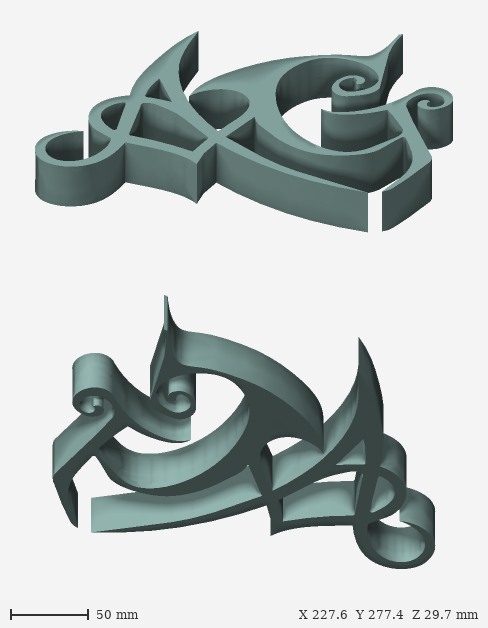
import cadquery as cq

LENGTH = 277.3
WIDTH = 227.5
THICKNESS = 29.7



def trace(start, edges):
    """Draw a closed profile whose corners are where one edge meets the next."""
    profile = cq.Workplane("XY").moveTo(*start)
    for points in edges:
        if len(points) == 1:
            profile = profile.lineTo(*points[0])
        elif len(points) == 2:
            profile = profile.threePointArc(*points)
        else:
            profile = profile.spline(points, includeCurrent=True)
    return profile.close()


blade_left_tip = (0, 141.7)
blade_right_tip = (226.5, 192.7)
strut_left_foot = (126.5, 120.3)
strut_right_foot = (134.5, 123.0)
strut_right_head = (114.8, 147.8)
elbow_top = (140.3, 115.3)
tail_notch = (124.5, 59.0)
stem_corner = (128.6, 232.3)
horn_tip = (WIDTH, 201.8)
tail_tip = (103.7, 37.0)
loop_corner = (67.7, 77.4)

blade_and_strut = [
    [(11, 133.6), (33.3, 120.3), (55.5, 113.7), (83.2, 111.7), (105.4, 114.5), strut_left_foot],
    [(116.5, 133.5), (102.5, 147), (91.5, 149.7), (79.9, 144.2), (74.5, 127.5), (78.7, 114.0)],
]

crescent_outside = [
    [(65.2, 127.5), (54.0, 152.5), (48.5, 183), (50.2, 208), (55.5, 227.4), (59.3, 239.0), (56.8, 245.7), (38.3, 264.5)],
    [(38.5, 267.0)],
    [(47, 259.8), (59.5, 252.0)],
]

leaf_curl = [
    [(100.5, 234.8)],
    [(105.0, 228.7), (106.0, 216.3), (104.0, 208.8), (96.5, 204.5), (88.2, 207.0), (82.3, 213.5),
     (80.5, 221.0), (83.2, 226.5), (87.3, 228.5), (91.5, 226.5), (92.5, 223.5), (90.0, 221.5)],
    [(86.5, 223.2), (83.7, 222.5)],
    [(84.3, 216.3), (88.7, 211.0), (94.3, 210.5), (99.3, 213.5), (100.5, 221.8), (98.0, 230),
     (92.5, 235.7), (84.5, 238.0), (72, 234.8), (59.5, 223.2), (54.3, 208), (58.2, 192.7),
     (72, 176.5), (91.5, 168.0), (113.7, 164.7), (135.9, 166.5), (155.3, 173.8), (169, 185.2),
     (173.5, 194), (173.3, 205.2), (167.7, 219), (160.3, 233), (155.3, 235.5)],
]

stem_and_horn = [
    [(141.5, 234.3), stem_corner],
    [(129.5, 219), (127.5, 205.2), (124.2, 197.5), (116.2, 191.5)],
    [(122.8, 200.0), (124.8, 209.3), (124.2, 223.2), (119.2, 239.8), (111, 255)],
    [(107.9, 262.0), (108.7, 269), (113.7, 274.8), (122.8, LENGTH), (130.5, 274.5), (135.0, 267.5), (135.0, 257.9),
     (131.7, 253.7), (127.5, 252.5), (124.2, 254.5), (122.8, 258.5), (125.3, 261.5)],
    [(127.5, 259.0), (129.8, 258.5), (132.3, 260.0), (133, 264.0), (131.0, 269), (126.2, 271.0), (120.0, 270.0),
     (116.5, 266.2), (115.3, 259.8), (117.8, 252.3), (122, 247.5), (127.5, 245.0)],
    [(147, 244.3)],
    [(193.3, 244.3)],
    [(197.5, 243.0), (201.0, 239.5)],
    [(213.5, 225.0), (223.2, 212.7), (227.4, 205.2), horn_tip],
    [(219, 212.0), (206.5, 224.5), (194, 231.2), (183, 233.5), (166.4, 234.3)],
    [(165.0, 234.0), (164.7, 232.0)],
]

crescent_right = [
    [(172.5, 220.0), (177.5, 210.7), (178.5, 199.5), (176.3, 187.2), (170.5, 173.8),
     (160.8, 163.5), (147, 155.3), (133, 150.3), (123.5, 147.5), strut_right_head],
    [strut_right_foot],
    [(152.5, 132.3), (177.5, 147), (199.5, 166.4), blade_right_tip],
    [(212.0, 172.5), (194, 152.8), (172, 134.5), elbow_top],
]

elbow_and_tail = [
    [(151.5, 104.0)],
    [(163.0, 96.2)],
    [(152.5, 91.0), (135.9, 74.3), tail_notch],
    [(138.5, 45.0), (144.7, 33.3), (145.8, 22.2), (140.3, 8.0), (130.3, 0.8), (122.8, 0), (113.7, 2.2),
     (104.0, 11), (101.0, 20.8), (101.5, 31.0), tail_tip],
    [(104.2, 23.5), (108, 15.0), (115.0, 9.0), (123.5, 7.0), (131.1, 9.0), (137.5, 16.5),
     (137.8, 29.0), (133, 38.8), (123.5, 48.5), (117.0, 51.5)],
]

loop_and_blade = [
    [(109.5, 47.7), (101.2, 44.0), (91.5, 43.8), (80.5, 47.7), (71.0, 57.0), (68.0, 65.5), loop_corner],
    [(47, 89.0), (27.7, 106.5), (11, 124.8), blade_left_tip],
]

outline_edges = (
    blade_and_strut + crescent_outside + leaf_curl + stem_and_horn
    + crescent_right + elbow_and_tail + loop_and_blade
)

triangle_window = ((52.0, 101.5), [
    [(83.0, 101.5)],
    [(77.0, 94.3), (72.6, 87.5)],
    [(71.0, 86.8), (69.3, 87.5)],
    [(59.3, 94.3), (52.0, 101.5)],
])
large_window = ((79.5, 83.2), [
    [(79.9, 86), (86, 93.0), (97, 100.0), (111, 105.4), (132.8, 112.3)],
    [(147, 98.0)],
    [(131.7, 83.2), (116.5, 64.3)],
    [(115.0, 64.0)],
    [(83.2, 80.5)],
    [(81.0, 81.2), (79.5, 83.2)],
])
loop_window = ((75.5, 72.5), [
    [(75.7, 66.5), (79.5, 58.2), (86.5, 53.2), (95.7, 52.5), (106.0, 55.2)],
    [(107.3, 56.8), (105.4, 58.8)],
    [(77.5, 72)],
    [(75.5, 72.5)],
])

result = trace(blade_left_tip, outline_edges).extrude(THICKNESS)
for window_start, window_edges in (triangle_window, large_window, loop_window):
    result = result.cut(trace(window_start, window_edges).extrude(THICKNESS))